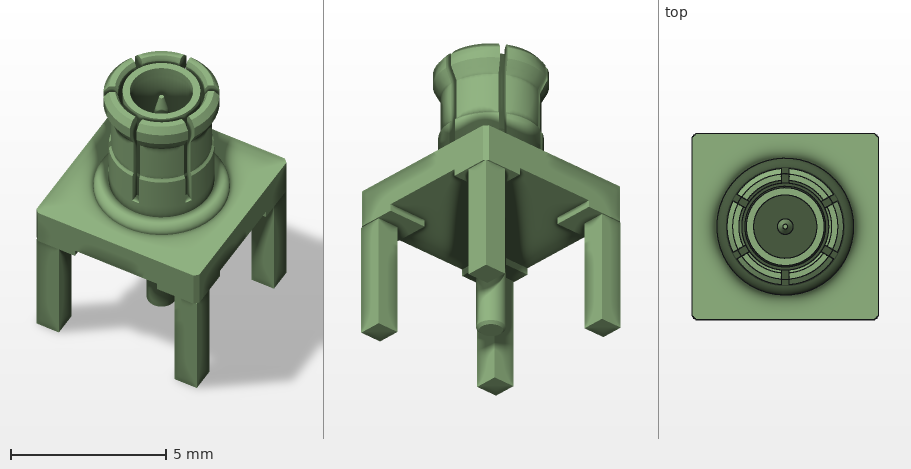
import cadquery as cq

plate_side = 6.0
plate_corner_chamfer = 0.14
plate_top = 5.21
pad_bottom = 3.91
recess_ceiling = 4.15
recess_width = 3.03
leg_side = 0.82
leg_pitch = 5.08

flange_radius = 4.4 / 2
flange_top = 5.51
flange_round = flange_top - plate_top

total_height = 9.7
barrel_radius = 3.4 / 2
barrel_step_bottom = 7.12
barrel_step_top = 7.22
neck_radius = 3.25 / 2
neck_top = 8.6
head_radius = 3.74 / 2
head_bottom = 9.08
head_top = 9.49
head_rim_radius = 3.39 / 2
finger_bore_radius = 2.8 / 2
finger_mouth_radius = 2.99 / 2
finger_mouth_depth = 0.16
slot_width = 0.24
slot_count = 6
slot_bottom = 5.99
cavity_floor = flange_top

sleeve_radius = 2.5 / 2
sleeve_root_radius = 2.6 / 2
sleeve_step_bottom = 6.73
sleeve_step_top = 6.81
sleeve_top = 9.6
sleeve_bore_radius = 2.04 / 2

contact_radius = 0.5 / 2
contact_tip_radius = 0.08
contact_tip = 9.34
contact_cone_bottom = 8.58

pin_radius = 0.96 / 2
pin_chamfer = 0.1


def revolve_profile(points):
    """Revolve a closed outline of (radius, height) points about Z."""
    return cq.Workplane("XZ").polyline(points).close().revolve(360, (0, 0), (0, 1))


def make_base():
    plate = (
        cq.Workplane("XY")
        .workplane(offset=pad_bottom)
        .rect(plate_side, plate_side)
        .extrude(plate_top - pad_bottom)
        .edges("|Z")
        .chamfer(plate_corner_chamfer)
    )
    recess = cq.Workplane("XY").workplane(offset=pad_bottom)
    recess_depth = recess_ceiling - pad_bottom
    plate = plate.cut(recess.rect(plate_side, recess_width).extrude(recess_depth))
    plate = plate.cut(recess.rect(recess_width, plate_side).extrude(recess_depth))
    legs = (
        cq.Workplane("XY")
        .rect(leg_pitch, leg_pitch, forConstruction=True)
        .vertices()
        .rect(leg_side, leg_side)
        .extrude(pad_bottom)
    )
    return plate.union(legs)


def make_flange():
    flat_radius = flange_radius - flange_round
    return (
        cq.Workplane("XZ")
        .moveTo(0, plate_top)
        .lineTo(flange_radius, plate_top)
        .radiusArc((flat_radius, flange_top), -flange_round)
        .lineTo(0, flange_top)
        .close()
        .revolve(360, (0, 0), (0, 1))
    )


def make_barrel():
    barrel = revolve_profile([
        (barrel_radius, cavity_floor),
        (barrel_radius, barrel_step_bottom),
        (neck_radius, barrel_step_top),
        (neck_radius, neck_top),
        (head_radius, head_bottom),
        (head_radius, head_top),
        (head_rim_radius, total_height),
        (finger_mouth_radius, total_height),
        (finger_bore_radius, total_height - finger_mouth_depth),
        (finger_bore_radius, cavity_floor),
    ])
    slot = (
        cq.Workplane("XY")
        .workplane(offset=slot_bottom)
        .center(0, head_radius / 2)
        .rect(slot_width, head_radius)
        .extrude(total_height - slot_bottom)
    )
    for index in range(slot_count):
        turn = index * 360 / slot_count
        barrel = barrel.cut(slot.rotate((0, 0, 0), (0, 0, 1), turn))
    return barrel


def make_sleeve():
    return revolve_profile([
        (sleeve_bore_radius, cavity_floor),
        (sleeve_root_radius, cavity_floor),
        (sleeve_root_radius, sleeve_step_bottom),
        (sleeve_radius, sleeve_step_top),
        (sleeve_radius, sleeve_top),
        (sleeve_bore_radius, sleeve_top),
    ])


def make_contact():
    return revolve_profile([
        (0, cavity_floor),
        (contact_radius, cavity_floor),
        (contact_radius, contact_cone_bottom),
        (contact_tip_radius, contact_tip),
        (0, contact_tip),
    ])


def make_pin():
    pin = cq.Workplane("XY").circle(pin_radius).extrude(recess_ceiling)
    return pin.faces("<Z").chamfer(pin_chamfer)


result = make_base()
for feature in (make_flange(), make_barrel(), make_sleeve(), make_contact(), make_pin()):
    result = result.union(feature)